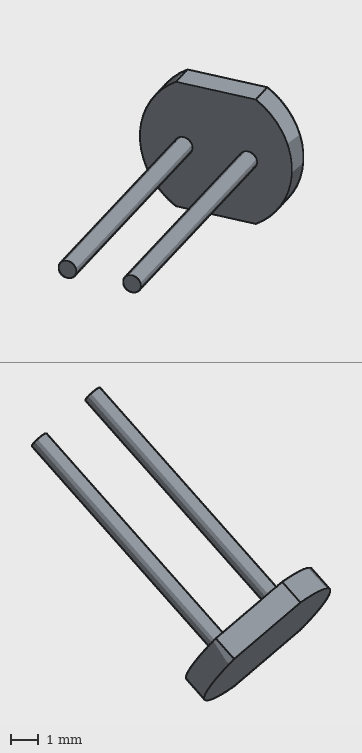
import cadquery as cq

overall_length = 11
disc_thickness = 1.0
disc_diameter = 6.0
disc_height = 5.1
pin_diameter = 0.7
pin_spacing = 2.54

pin_length = overall_length - disc_thickness


def make_disc():
    """Round disc with its top and bottom cut to parallel flats."""
    cylinder = cq.Workplane("XZ").circle(disc_diameter / 2).extrude(-disc_thickness)
    flats = cq.Workplane("XZ").rect(disc_diameter, disc_height).extrude(-disc_thickness)
    return cylinder.intersect(flats)


def make_pins():
    """Two straight round pins standing on the disc's -Y face."""
    pin_centres = [(-pin_spacing / 2, 0), (pin_spacing / 2, 0)]
    return cq.Workplane("XZ").pushPoints(pin_centres).circle(pin_diameter / 2).extrude(pin_length)


result = make_disc().union(make_pins())